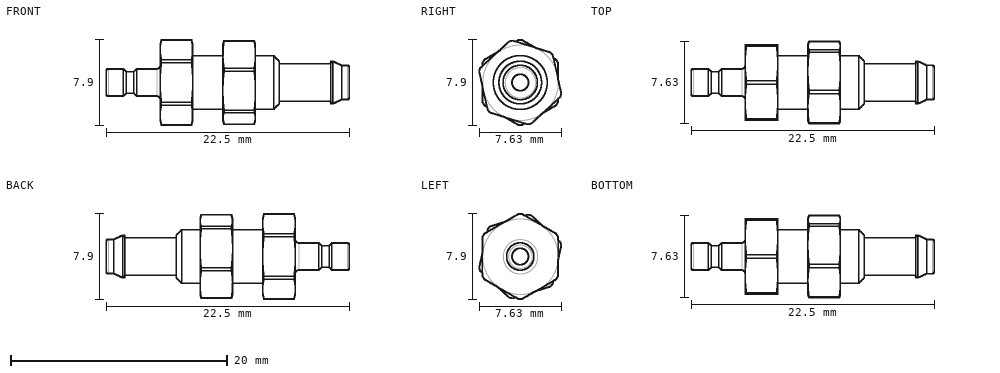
import cadquery as cq
import math

TOTAL_LENGTH = 22.5
BORE_DIAMETER = 1.5

PLUG_DIAMETER = 2.55
PLUG_EDGE_ROUND = 0.18
GROOVE_DIAMETER = 2.0
GROOVE_START = 1.6
GROOVE_END = 2.81
GROOVE_SLOPE = (PLUG_DIAMETER - GROOVE_DIAMETER) / 2
ROOT_FILLET_DIAMETER = 3.2
ROOT_FILLET = (ROOT_FILLET_DIAMETER - PLUG_DIAMETER) / 2

HEX_ACROSS_FLATS = 7.0
HEX_CORNER_DIAMETER = 7.9
HEX_THICKNESS = 3.02
HEX_BEVEL_DEPTH = 0.11
FITTING_HEX_START = 5.0
NUT_START = 10.8
NUT_TURN = 12.6

BODY_DIAMETER = 5.0
BODY_END = 16.02
SHOULDER_DIAMETER = 3.95
SHOULDER_CHAMFER = (BODY_DIAMETER - SHOULDER_DIAMETER) / 2
SHANK_DIAMETER = 3.5
BARB_DIAMETER = 3.95
BARB_START = 20.8
BARB_ROOT_FILLET = 0.07
BARB_RIM_END = 20.97
BARB_EDGE_LENGTH = 0.07
BARB_EDGE_DROP = 0.02
TIP_DIAMETER = 3.2
TIP_START = 21.8
TIP_EDGE_ROUND = 0.18


def hexagon(start, turn):
    """Hexagonal prism along X with clipped corners and both end faces bevelled to a circle."""
    prism = (
        cq.Workplane("YZ", origin=(start, 0, 0))
        .polygon(6, HEX_ACROSS_FLATS, circumscribed=True)
        .extrude(HEX_THICKNESS)
        .rotate((0, 0, 0), (1, 0, 0), turn)
    )
    face_radius = HEX_ACROSS_FLATS / 2
    corner_radius = HEX_CORNER_DIAMETER / 2
    end = start + HEX_THICKNESS
    envelope = (
        cq.Workplane("XY")
        .moveTo(start, 0)
        .lineTo(start, face_radius)
        .lineTo(start + HEX_BEVEL_DEPTH, corner_radius)
        .lineTo(end - HEX_BEVEL_DEPTH, corner_radius)
        .lineTo(end, face_radius)
        .lineTo(end, 0)
        .close()
        .revolve(360, (0, 0, 0), (1, 0, 0))
    )
    return prism.intersect(envelope)


def turned_profile():
    """Half section of the turned fitting, from the plug face to the hose tip."""
    plug = PLUG_DIAMETER / 2
    groove = GROOVE_DIAMETER / 2
    body = BODY_DIAMETER / 2
    shank = SHANK_DIAMETER / 2
    barb = BARB_DIAMETER / 2
    tip = TIP_DIAMETER / 2
    diagonal = math.sqrt(0.5)
    plug_mid = PLUG_EDGE_ROUND * (1 - diagonal)
    root_mid = ROOT_FILLET * (1 - diagonal)
    barb_mid = BARB_ROOT_FILLET * (1 - diagonal)
    tip_mid = TIP_EDGE_ROUND * (1 - diagonal)
    return (
        cq.Workplane("XY")
        .moveTo(0, 0)
        .lineTo(0, plug - PLUG_EDGE_ROUND)
        .threePointArc((plug_mid, plug - plug_mid), (PLUG_EDGE_ROUND, plug))
        .lineTo(GROOVE_START, plug)
        .lineTo(GROOVE_START + GROOVE_SLOPE, groove)
        .lineTo(GROOVE_END - GROOVE_SLOPE, groove)
        .lineTo(GROOVE_END, plug)
        .lineTo(FITTING_HEX_START - ROOT_FILLET, plug)
        .threePointArc(
            (FITTING_HEX_START - root_mid, plug + root_mid),
            (FITTING_HEX_START, plug + ROOT_FILLET),
        )
        .lineTo(FITTING_HEX_START, body)
        .lineTo(BODY_END - SHOULDER_CHAMFER, body)
        .lineTo(BODY_END, SHOULDER_DIAMETER / 2)
        .lineTo(BODY_END, shank)
        .lineTo(BARB_START - BARB_ROOT_FILLET, shank)
        .threePointArc(
            (BARB_START - barb_mid, shank + barb_mid),
            (BARB_START, shank + BARB_ROOT_FILLET),
        )
        .lineTo(BARB_START, barb)
        .lineTo(BARB_RIM_END, barb)
        .lineTo(BARB_RIM_END + BARB_EDGE_LENGTH, barb - BARB_EDGE_DROP)
        .lineTo(TIP_START, tip)
        .lineTo(TOTAL_LENGTH - TIP_EDGE_ROUND, tip)
        .threePointArc(
            (TOTAL_LENGTH - tip_mid, tip - tip_mid),
            (TOTAL_LENGTH, tip - TIP_EDGE_ROUND),
        )
        .lineTo(TOTAL_LENGTH, 0)
        .close()
    )


def make_fitting():
    """Turned fitting with its hexagon and through bore."""
    turned = turned_profile().revolve(360, (0, 0, 0), (1, 0, 0))
    bore = cq.Workplane("YZ").circle(BORE_DIAMETER / 2).extrude(TOTAL_LENGTH)
    return turned.union(hexagon(FITTING_HEX_START, 0)).cut(bore)


def make_nut():
    """Hexagonal nut fitting closely around the body."""
    hole = cq.Workplane("YZ", origin=(NUT_START, 0, 0)).circle(BODY_DIAMETER / 2).extrude(HEX_THICKNESS)
    return hexagon(NUT_START, NUT_TURN).cut(hole)


fitting = make_fitting()
nut = make_nut()
result = cq.Compound.makeCompound([fitting.val(), nut.val()])